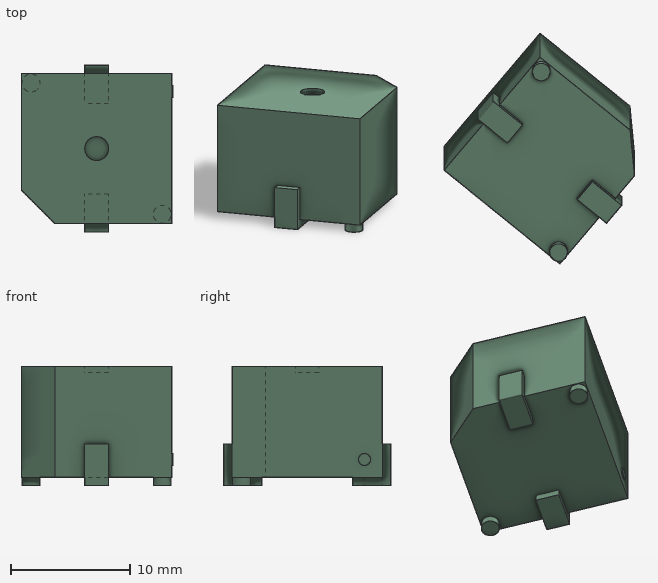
import cadquery as cq

housing_side = 12.6
housing_top = 10.0
standoff = 0.7
corner_cut = 2.8
half_side = housing_side / 2

sound_hole_diameter = 2.0
sound_hole_depth = 0.5

mark_diameter = 1.0
mark_height = 0.1
mark_inset = 1.5

terminal_width = 2.0
terminal_thickness = standoff
terminal_height = 3.5
terminal_foot_length = 3.2
terminal_bend_radius = 0.03
terminal_outer_y = half_side + terminal_thickness

foot_diameter = 1.5
foot_offset = 5.5


def make_housing():
    block = (
        cq.Workplane("XY")
        .workplane(offset=standoff)
        .rect(housing_side, housing_side)
        .extrude(housing_top - standoff)
    )
    block = block.edges("|Z and <X and <Y").chamfer(corner_cut)
    block = block.faces(">Z").workplane(origin=(0, 0, 0)).hole(sound_hole_diameter, sound_hole_depth)
    mark = (
        cq.Workplane("YZ", origin=(half_side, half_side - mark_inset, standoff + mark_inset))
        .circle(mark_diameter / 2)
        .extrude(mark_height)
    )
    return block.union(mark)


def make_terminal(side):
    """One terminal; side is -1 for the -Y face and +1 for the +Y face."""
    outer_y = side * terminal_outer_y
    wall_y = side * half_side
    foot_tip_y = side * (terminal_outer_y - terminal_foot_length)
    strip = (
        cq.Workplane("YZ")
        .moveTo(outer_y, 0)
        .lineTo(outer_y, terminal_height)
        .lineTo(wall_y, terminal_height)
        .lineTo(wall_y, terminal_thickness)
        .lineTo(foot_tip_y, terminal_thickness)
        .lineTo(foot_tip_y, 0)
        .close()
        .extrude(terminal_width / 2, both=True)
    )
    outer_bend = cq.selectors.NearestToPointSelector((0, outer_y, 0))
    return strip.edges(outer_bend).fillet(terminal_bend_radius)


def make_foot(side):
    """One support foot; side is the sign of its X, and its Y is opposite."""
    return (
        cq.Workplane("XY")
        .center(side * foot_offset, -side * foot_offset)
        .circle(foot_diameter / 2)
        .extrude(standoff)
    )


housing = make_housing()
terminals = [make_terminal(side) for side in (-1, 1)]
feet = [make_foot(side) for side in (-1, 1)]

result = cq.Compound.makeCompound([body.val() for body in [housing, *terminals, *feet]])